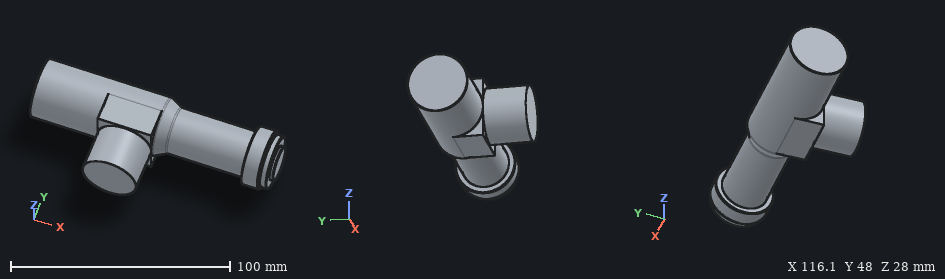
import cadquery as cq
import math

total_length = 116.1
body_diameter = 28.0
body_radius = body_diameter / 2
body_end_chamfer = 0.2

block_start = 33.0
block_width = 26.0
branch_radius = block_width / 2
overall_depth = 48.0
branch_end = overall_depth - body_radius

tube_radius = 11.0
cone_start = 59.5
cone_angle = math.radians(27)
cone_end = cone_start + (body_radius - tube_radius) / math.tan(cone_angle)
neck_blend_radius = 1.7
selection_margin = 1.2

collar_start = 102.5
collar_end = 110.6
groove_radius = 12.3
flange_start = 111.2
flange_end = 114.4
flange_radius = 12.7
spigot_radius = 8.2
collar_chamfer = 0.3
flange_chamfer = 0.3


def cylinder_x(start, end, radius):
    """Cylinder on the main axis between two X positions."""
    return cq.Workplane("YZ", origin=(start, 0, 0)).circle(radius).extrude(end - start)


def make_body():
    """Body, cone and tube as one turned piece with blended neck corners."""
    turned = (
        cq.Workplane("XY")
        .moveTo(0, 0)
        .lineTo(0, body_radius - body_end_chamfer)
        .lineTo(body_end_chamfer, body_radius)
        .lineTo(cone_start, body_radius)
        .lineTo(cone_end, tube_radius)
        .lineTo(collar_start, tube_radius)
        .lineTo(collar_start, 0)
        .close()
        .revolve(360, (0, 0, 0), (1, 0, 0))
    )
    neck_corners = cq.selectors.BoxSelector(
        (cone_start - selection_margin, -body_diameter, -body_diameter),
        (cone_end + selection_margin, body_diameter, body_diameter),
    )
    return turned.edges("%CIRCLE").edges(neck_corners).fillet(neck_blend_radius)


def make_branch():
    """Saddle block reaching from the axis to the body side, and its round branch."""
    block = cq.Workplane("XY").box(
        block_width, body_radius, body_diameter, centered=(False, False, True)
    ).translate((block_start, -body_radius, 0))
    branch = (
        cq.Workplane("XZ", origin=(block_start + block_width / 2, 0, 0))
        .circle(branch_radius)
        .extrude(branch_end)
    )
    return block.union(branch)


def make_head():
    """Collar, groove, flange and spigot with bevelled rims."""
    collar = cylinder_x(collar_start, collar_end, body_radius).edges("%CIRCLE").chamfer(collar_chamfer)
    groove = cylinder_x(collar_end, flange_start, groove_radius)
    flange = cylinder_x(flange_start, flange_end, flange_radius).faces(">X").chamfer(flange_chamfer)
    spigot = cylinder_x(flange_end, total_length, spigot_radius).faces(">X").chamfer(flange_chamfer)
    return collar.union(groove).union(flange).union(spigot)


result = make_body().union(make_branch()).union(make_head())